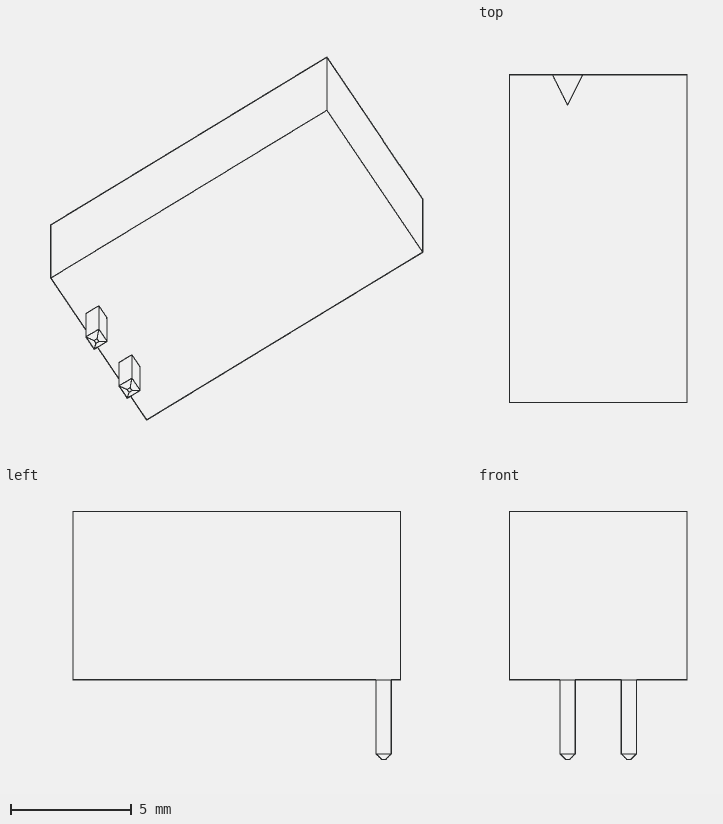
import cadquery as cq

HOUSING_WIDTH = 7.37
HOUSING_LENGTH = 13.59
OVERALL_HEIGHT = 10.29
PIN_LENGTH = 3.3
HOUSING_HEIGHT = OVERALL_HEIGHT - PIN_LENGTH

PIN_SIZE = 0.64
PIN_PITCH = 2.54
PIN_EDGE_DISTANCE = 0.7
PIN_TIP_CHAMFER = 0.25
PIN_Y = PIN_EDGE_DISTANCE - HOUSING_LENGTH / 2
PIN_XS = (-PIN_PITCH / 2, PIN_PITCH / 2)

MARKER_WIDTH = 1.26
MARKER_LENGTH = 1.26
MARKER_DEPTH = 0.05
MARKER_X = PIN_XS[0]


def make_marker_cutter():
    """Triangular prism that points from the +Y face towards -Y."""
    back_y = HOUSING_LENGTH / 2
    return (
        cq.Workplane("XY")
        .workplane(offset=HOUSING_HEIGHT - MARKER_DEPTH)
        .moveTo(MARKER_X - MARKER_WIDTH / 2, back_y)
        .lineTo(MARKER_X + MARKER_WIDTH / 2, back_y)
        .lineTo(MARKER_X, back_y - MARKER_LENGTH)
        .close()
        .extrude(MARKER_DEPTH)
    )


def make_housing():
    """Plain rectangular block with the marker recess."""
    block = cq.Workplane("XY").box(
        HOUSING_WIDTH, HOUSING_LENGTH, HOUSING_HEIGHT, centered=(True, True, False)
    )
    return block.cut(make_marker_cutter())


def make_pin(x):
    """Square pin that meets the housing underside and tapers at its lower tip."""
    return (
        cq.Workplane("XY")
        .center(x, PIN_Y)
        .rect(PIN_SIZE, PIN_SIZE)
        .extrude(-PIN_LENGTH)
        .faces("<Z")
        .chamfer(PIN_TIP_CHAMFER)
    )


housing = make_housing()
pins = [make_pin(x).val() for x in PIN_XS]

result = cq.Compound.makeCompound([housing.val(), *pins])